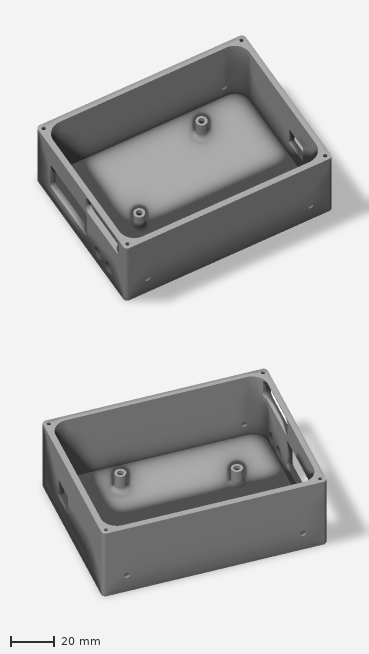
import cadquery as cq

width = 84.0
depth = 111.0
height = 39.0
wall = 3.0
floor = 3.0
outer_radius = 2.0
inner_radius = 8.0
cut_overlap = 1.1

rim_hole_diameter = 2.0
rim_hole_depth = 10.0
rim_hole_inset = 2.7

standoff_centers = [(-24.9, 23.3), (23.3, 23.3), (8.2, -28.9)]
standoff_diameter = 5.5
standoff_bore = 3.2
standoff_top = 13.0
flare_radius = 3.0

window_width = 34.5
window_height = 16.4
window_center = (-11.4, 17.3)
window_radius = 2.0
slot_width = 31.4
slot_height = 10.3
slot_center = (20.3, 33.1)
slot_radius = 3.0
button_diameter = 6.5
button_centers = [(16.5, 8.5), (26.5, 8.5)]

port_width = 13.4
port_height = 10.4
port_center = (12.4, 17.2)
port_radius = 1.0

side_hole_diameter = 3.0
side_hole_spacing = 87.0
side_hole_z = 10.0


def make_shell():
    """Open-topped box with rounded vertical corners inside and out."""
    outer = cq.Workplane("XY").box(width, depth, height, centered=(True, True, False))
    cavity = (
        cq.Workplane("XY", origin=(0, 0, floor))
        .rect(width - 2 * wall, depth - 2 * wall)
        .extrude(height)
        .edges("|Z")
        .fillet(inner_radius)
    )
    return outer.edges("|Z").fillet(outer_radius).cut(cavity)


def make_standoff(x, y):
    """Solid post whose foot sweeps out to the floor in a concave arc."""
    post_radius = standoff_diameter / 2
    foot_radius = post_radius + flare_radius
    flare_top = floor + flare_radius
    arc_offset = flare_radius * (1 - 0.5**0.5)
    return (
        cq.Workplane("XZ")
        .lineTo(foot_radius, 0)
        .lineTo(foot_radius, floor)
        .threePointArc((post_radius + arc_offset, floor + arc_offset), (post_radius, flare_top))
        .lineTo(post_radius, standoff_top)
        .lineTo(0, standoff_top)
        .close()
        .revolve(360, (0, 0), (0, 1))
        .translate((x, y, 0))
    )


def wall_opening(opening_width, opening_height, center, wall_y):
    """Rectangular cutter through the wall centred on the plane y = wall_y."""
    x, z = center
    cut_depth = wall + 2 * cut_overlap
    return cq.Workplane("XY").box(opening_width, cut_depth, opening_height).translate((x, wall_y, z))


body = make_shell()

for standoff_x, standoff_y in standoff_centers:
    body = body.union(make_standoff(standoff_x, standoff_y))
bores = (
    cq.Workplane("XY")
    .pushPoints(standoff_centers)
    .circle(standoff_bore / 2)
    .extrude(standoff_top + cut_overlap)
)
body = body.cut(bores)

rim_holes = (
    cq.Workplane("XY", origin=(0, 0, height))
    .rect(width - 2 * rim_hole_inset, depth - 2 * rim_hole_inset, forConstruction=True)
    .vertices()
    .circle(rim_hole_diameter / 2)
    .extrude(-rim_hole_depth)
)
body = body.cut(rim_holes)

front_wall_y = (wall - depth) / 2
back_wall_y = -front_wall_y
window = wall_opening(window_width, window_height, window_center, front_wall_y)
slot = wall_opening(slot_width, slot_height, slot_center, front_wall_y)
port = wall_opening(port_width, port_height, port_center, back_wall_y)
body = body.cut(window.edges("|Y").fillet(window_radius))
body = body.cut(slot.edges("|Y").fillet(slot_radius))
body = body.cut(port.edges("|Y").fillet(port_radius))

buttons = (
    cq.Workplane("XZ", origin=(0, -depth / 2, 0))
    .pushPoints(button_centers)
    .circle(button_diameter / 2)
    .extrude(-(wall + cut_overlap))
)
body = body.cut(buttons)

side_holes = (
    cq.Workplane("YZ", origin=(0, 0, side_hole_z))
    .pushPoints([(-side_hole_spacing / 2, 0), (side_hole_spacing / 2, 0)])
    .circle(side_hole_diameter / 2)
    .extrude(width / 2 + cut_overlap, both=True)
)
result = body.cut(side_holes)